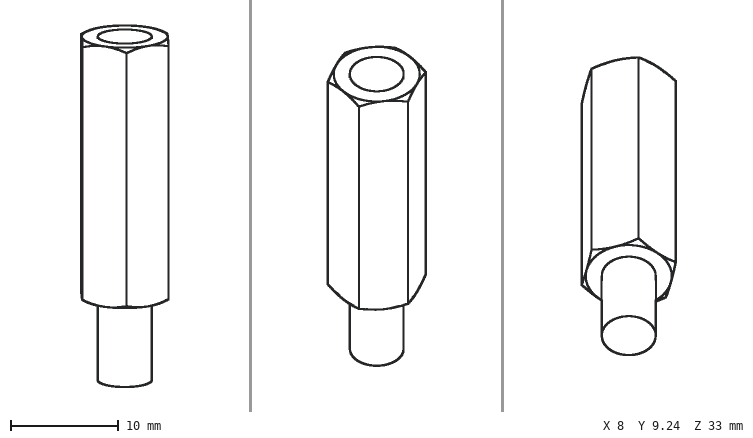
import cadquery as cq
import math

total_length = 33.0
stud_length = 8.0
thread_diameter = 5.0
across_flats = 8.0
hole_depth = 9.9
chamfer_angle = 30.0

hex_length = total_length - stud_length
across_corners = across_flats / math.cos(math.pi / 6)
corner_reach = (across_corners - across_flats) / 2
chamfer_drop = corner_reach * math.tan(math.radians(chamfer_angle))


def make_chamfer_envelope():
    """Round blank, coned at both ends, that trims the corners of the hexagon."""
    face_radius = across_flats / 2
    corner_radius = across_corners / 2
    return (
        cq.Workplane("XZ")
        .moveTo(0, stud_length)
        .lineTo(face_radius, stud_length)
        .lineTo(corner_radius, stud_length + chamfer_drop)
        .lineTo(corner_radius, total_length - chamfer_drop)
        .lineTo(face_radius, total_length)
        .lineTo(0, total_length)
        .close()
        .revolve(360, (0, 0, 0), (0, 1, 0))
    )


def make_hex_sleeve():
    """Hexagonal spacer with flats facing X, corners on Y and a blind hole in the top."""
    hexagon = (
        cq.Workplane("XY", origin=(0, 0, stud_length))
        .transformed(rotate=(0, 0, 90))
        .polygon(6, across_corners)
        .extrude(hex_length)
    )
    hole = (
        cq.Workplane("XY", origin=(0, 0, total_length - hole_depth))
        .circle(thread_diameter / 2)
        .extrude(hole_depth)
    )
    return hexagon.intersect(make_chamfer_envelope()).cut(hole).solids()


def make_stud():
    """Plain round stud that meets the bottom face of the sleeve."""
    return cq.Workplane("XY").circle(thread_diameter / 2).extrude(stud_length)


hex_sleeve = make_hex_sleeve()
stud = make_stud()

result = cq.Compound.makeCompound([hex_sleeve.val(), stud.val()])